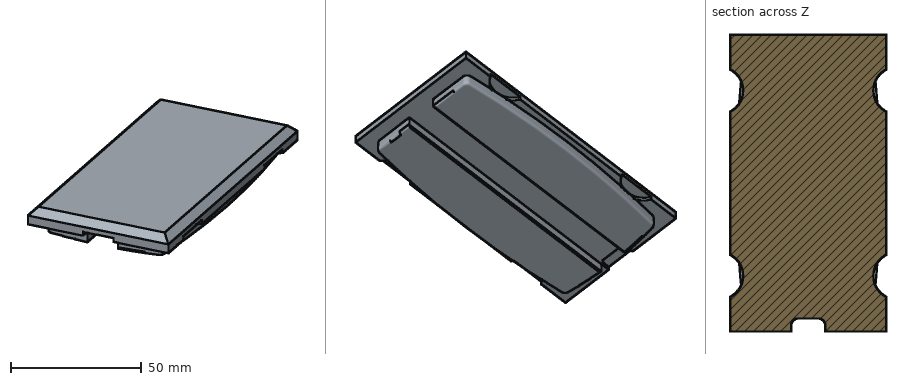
import cadquery as cq
import math

PLATE_WIDTH = 60.0
PLATE_LENGTH = 114.0
PLATE_THICKNESS = 6.8
PLATE_CHAMFER = 3.1

BOSS_HEIGHT = 4.9
BOSS_BOTTOM_FILLET = 1.0
BOSS_CORNER_RADIUS = 2.2
BOSS_CORNER_X = 24.5
BOSS_CORNER_Y = 51.2
BOSS_SIDE_X = 27.7
BOSS_FRONT_Y = 53.2
BOSS_BACK_Y = 51.3

NOTCH_HEIGHT = 1.6

GAP_WIDTH = 13.0
GAP_MOUTH_CHAMFER = 0.5
RECESS_DEPTH = 5.0
RECESS_CORNER_RADIUS = 2.6

SCALLOP_WIDTH = 16.1
SCALLOP_RADIUS = 9.0
SCALLOP_Y = 35.6


def make_plate():
    plate = cq.Workplane("XY").box(
        PLATE_WIDTH, PLATE_LENGTH, PLATE_THICKNESS, centered=(True, True, False)
    )
    return plate.faces(">Z").chamfer(PLATE_CHAMFER)


def make_boss():
    boss = (
        cq.Workplane("XY")
        .moveTo(-BOSS_CORNER_X, -BOSS_CORNER_Y)
        .threePointArc((0, -BOSS_FRONT_Y), (BOSS_CORNER_X, -BOSS_CORNER_Y))
        .threePointArc((BOSS_SIDE_X, 0), (BOSS_CORNER_X, BOSS_CORNER_Y))
        .threePointArc((0, BOSS_BACK_Y), (-BOSS_CORNER_X, BOSS_CORNER_Y))
        .threePointArc((-BOSS_SIDE_X, 0), (-BOSS_CORNER_X, -BOSS_CORNER_Y))
        .close()
        .extrude(-BOSS_HEIGHT)
        .edges("|Z")
        .fillet(BOSS_CORNER_RADIUS)
        .faces("<Z")
        .edges()
        .fillet(BOSS_BOTTOM_FILLET)
    )
    return boss.cut(make_gap())


def make_gap():
    half_width = GAP_WIDTH / 2
    flare_half_width = half_width + GAP_MOUTH_CHAMFER
    flare_top = GAP_MOUTH_CHAMFER - BOSS_HEIGHT
    return (
        cq.Workplane("XZ")
        .moveTo(-half_width, 0)
        .lineTo(half_width, 0)
        .lineTo(half_width, flare_top)
        .lineTo(flare_half_width, -BOSS_HEIGHT)
        .lineTo(-flare_half_width, -BOSS_HEIGHT)
        .lineTo(-half_width, flare_top)
        .close()
        .extrude(PLATE_LENGTH / 2, both=True)
    )


def make_recess():
    return (
        cq.Workplane("XY")
        .box(GAP_WIDTH, 2 * RECESS_DEPTH, NOTCH_HEIGHT, centered=(True, True, False))
        .edges("|Z")
        .fillet(RECESS_CORNER_RADIUS)
        .translate((0, -PLATE_LENGTH / 2, 0))
    )


def make_scallop(side, end):
    half_width = SCALLOP_WIDTH / 2
    outward_offset = math.sqrt(SCALLOP_RADIUS**2 - half_width**2)
    return (
        cq.Workplane("XY")
        .center(side * (PLATE_WIDTH / 2 + outward_offset), end * SCALLOP_Y)
        .circle(SCALLOP_RADIUS)
        .extrude(NOTCH_HEIGHT)
    )


plate = make_plate().cut(make_recess())
for side in (-1, 1):
    for end in (-1, 1):
        plate = plate.cut(make_scallop(side, end))

result = plate.union(make_boss())